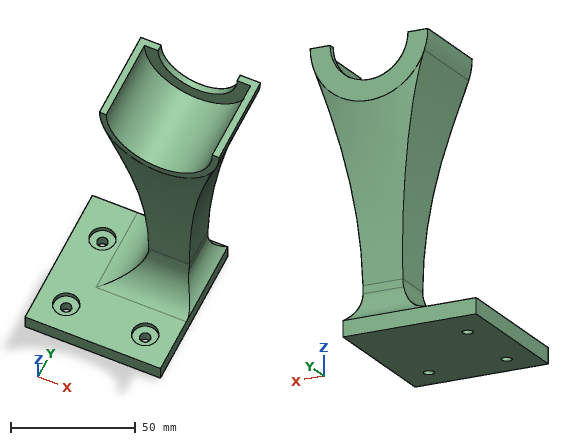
import cadquery as cq
import math

PLATE_X = 60.0
PLATE_Y = 65.0
PLATE_THICKNESS = 7.0

HOLE_DIAMETER = 4.5
COUNTERBORE_DIAMETER = 11.0
COUNTERBORE_DEPTH = 2.2
HOLE_INSET = 12.5
HOLE_PITCH = 35.0

NECK_WIDTH = 18.0
NECK_TO_PLATE_EDGE = 6.0
FLARE_RADIUS = 16.0
NECK_X = PLATE_X - NECK_TO_PLATE_EDGE - NECK_WIDTH / 2
NECK_Y = PLATE_Y - NECK_TO_PLATE_EDGE - NECK_WIDTH / 2
NECK_TOP_Z = PLATE_THICKNESS + FLARE_RADIUS

CRADLE_RADIUS = 26.5
CRADLE_WALL = 3.0
LIP_RADIUS = 17.5
LIP_THICKNESS = 3.0
CRADLE_LENGTH = 40.0
TOTAL_HEIGHT = 123.5
CRADLE_FRONT_Y = 31.5
CRADLE_REAR_Y = CRADLE_FRONT_Y + CRADLE_LENGTH
BORE_RADIUS = CRADLE_RADIUS - CRADLE_WALL

HALF_NECK = NECK_WIDTH / 2
AXIS_HEIGHT = TOTAL_HEIGHT - NECK_TOP_Z
SIDE_RADIUS = (AXIS_HEIGHT**2 + HALF_NECK**2 - CRADLE_RADIUS**2) / (2 * (CRADLE_RADIUS - HALF_NECK))
SIDE_CENTER_OFFSET = HALF_NECK + SIDE_RADIUS
TANGENT_ANGLE = math.atan2(SIDE_CENTER_OFFSET, AXIS_HEIGHT)
TANGENT_X = CRADLE_RADIUS * math.sin(TANGENT_ANGLE)

FRONT_LINEAR_SHARE = 0.0
REAR_LINEAR_SHARE = 0.3

FACE_STEPS = 8
FACE_SIDE_MARGIN = 0.6
FACE_OVERHANG = 0.05
FACE_TOLERANCE = 0.001
BLOCK_OVERHANG = 3.0
CLEARANCE = 10.0


def make_plate():
    """Base plate with its screw holes."""
    plate = cq.Workplane("XY").box(PLATE_X, PLATE_Y, PLATE_THICKNESS, centered=False)
    far = HOLE_INSET + HOLE_PITCH
    hole_points = [(HOLE_INSET, HOLE_INSET), (far, HOLE_INSET), (HOLE_INSET, far)]
    return (
        plate.faces(">Z")
        .workplane(origin=(0, 0, PLATE_THICKNESS))
        .pushPoints(hole_points)
        .cboreHole(HOLE_DIAMETER, COUNTERBORE_DIAMETER, COUNTERBORE_DEPTH)
    )


def flare_profile(plane, neck_center, plate_edge, depth):
    """Neck outline with a full flare inward and one cut short by the plate edge outward."""
    diagonal = FLARE_RADIUS * math.sqrt(0.5)
    inner = neck_center - HALF_NECK
    outer = neck_center + HALF_NECK
    short_angle = math.acos(1 - NECK_TO_PLATE_EDGE / FLARE_RADIUS)
    short_height = FLARE_RADIUS * math.sin(short_angle)
    short_middle = (
        outer + FLARE_RADIUS * (1 - math.cos(short_angle / 2)),
        PLATE_THICKNESS + short_height - FLARE_RADIUS * math.sin(short_angle / 2),
    )
    return (
        cq.Workplane(plane)
        .moveTo(inner - FLARE_RADIUS, PLATE_THICKNESS)
        .threePointArc(
            (inner - FLARE_RADIUS + diagonal, NECK_TOP_Z - diagonal),
            (inner, NECK_TOP_Z),
        )
        .lineTo(outer, NECK_TOP_Z)
        .lineTo(outer, PLATE_THICKNESS + short_height)
        .threePointArc(short_middle, (plate_edge, PLATE_THICKNESS))
        .close()
        .extrude(depth)
    )


def make_neck():
    """Mitred flare: the X outline and the Y outline crossed with each other."""
    x_flare = flare_profile("XZ", NECK_X, PLATE_X, -PLATE_Y)
    y_flare = flare_profile("YZ", NECK_Y, PLATE_Y, PLATE_X)
    return x_flare.intersect(y_flare)


def half_disc(radius, y_start, y_end):
    """Lower half of a cylinder on the cradle axis."""
    return (
        cq.Workplane("XZ", origin=(NECK_X, y_start, TOTAL_HEIGHT))
        .moveTo(-radius, 0)
        .threePointArc((0, -radius), (radius, 0))
        .close()
        .extrude(y_start - y_end)
    )


def make_stem_block():
    """Stem outline, a little longer than the cradle, before its front and rear are shaped."""
    tangent_z = AXIS_HEIGHT - CRADLE_RADIUS * math.cos(TANGENT_ANGLE)
    half_sweep = math.asin(tangent_z / SIDE_RADIUS) / 2
    middle_x = SIDE_CENTER_OFFSET - SIDE_RADIUS * math.cos(half_sweep)
    middle_z = SIDE_RADIUS * math.sin(half_sweep)
    return (
        cq.Workplane("XZ", origin=(NECK_X, CRADLE_FRONT_Y - BLOCK_OVERHANG, NECK_TOP_Z))
        .moveTo(-HALF_NECK, 0)
        .lineTo(HALF_NECK, 0)
        .threePointArc((middle_x, middle_z), (TANGENT_X, tangent_z))
        .threePointArc((0, AXIS_HEIGHT - CRADLE_RADIUS), (-TANGENT_X, tangent_z))
        .threePointArc((-middle_x, middle_z), (-HALF_NECK, 0))
        .close()
        .extrude(-CRADLE_LENGTH - 2 * BLOCK_OVERHANG)
    )


def stem_face_point(x, up, neck_y, cradle_y, linear_share):
    """Point on a stem end face: x from the stem axis, up runs 0 to 1 from neck to cradle."""
    rise = AXIS_HEIGHT - math.sqrt(CRADLE_RADIUS**2 - x**2)
    growth = linear_share * up + (1 - linear_share) * up**2
    y = neck_y + (cradle_y - neck_y) * growth
    return cq.Vector(NECK_X + x, y, NECK_TOP_Z + rise * up)


def stem_face_cutter(neck_y, cradle_y, linear_share):
    """Everything outside one shaped end face of the stem."""
    half_width = TANGENT_X + FACE_SIDE_MARGIN
    points = []
    for i in range(FACE_STEPS + 1):
        x = half_width * (2 * i / FACE_STEPS - 1)
        column = []
        for j in range(FACE_STEPS + 1):
            up = (1 + 2 * FACE_OVERHANG) * j / FACE_STEPS - FACE_OVERHANG
            column.append(stem_face_point(x, up, neck_y, cradle_y, linear_share))
        points.append(column)
    face = cq.Face.makeSplineApprox(points, tol=FACE_TOLERANCE)
    reach = cradle_y - neck_y
    reach += math.copysign(CLEARANCE, reach)
    return cq.Workplane(cq.Solid.extrudeLinear(face, cq.Vector(0, reach, 0)))


def make_stem():
    """Stem flaring from the square neck to the full length of the cradle."""
    front = stem_face_cutter(NECK_Y - HALF_NECK, CRADLE_FRONT_Y, FRONT_LINEAR_SHARE)
    rear = stem_face_cutter(NECK_Y + HALF_NECK, CRADLE_REAR_Y, REAR_LINEAR_SHARE)
    return make_stem_block().cut(front).cut(rear)


def cut_cradle(body):
    """Open the rail seat and the smaller half-round opening through the rear lip."""
    bore = half_disc(BORE_RADIUS, CRADLE_FRONT_Y, CRADLE_REAR_Y - LIP_THICKNESS)
    lip_opening = half_disc(LIP_RADIUS, CRADLE_FRONT_Y, CRADLE_REAR_Y)
    return body.cut(bore).cut(lip_opening)


cradle = half_disc(CRADLE_RADIUS, CRADLE_FRONT_Y, CRADLE_REAR_Y)
body = make_plate().union(make_neck()).union(make_stem()).union(cradle)
result = cut_cradle(body)